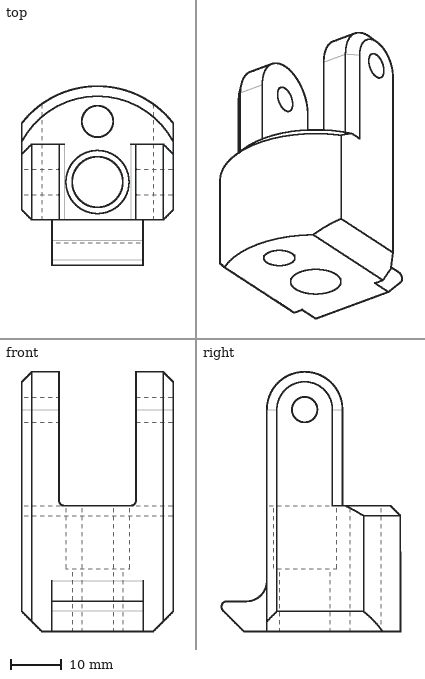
import cadquery as cq
import math

height = 51.5
width = 30.0
ear_radius = 7.5
edge_chamfer = 2.0
base_height = 25.0
back_radius = 19.0
foot_chamfer = 4.0

slot_width = 15.2
slot_fillet = 1.0
pin_hole_diameter = 5.0

bore_diameter = 10.0
counterbore_diameter = 12.5
counterbore_depth = base_height / 2
back_hole_diameter = 6.2
back_hole_y = 12.0

hook_width = 18.0
hook_height = 6.0
hook_foot_reach = 4.5
hook_root_fillet = 4.0
hook_tip_radius = 1.1

front_y = -ear_radius
pin_z = height - ear_radius
half_width = width / 2


def make_base():
    """Block with a rounded, chamfered back and chamfered front corners."""
    drum = cq.Workplane("XY").circle(back_radius).extrude(base_height)
    drum = drum.faces(">Z").chamfer(edge_chamfer)
    depth = back_radius - front_y
    block = (
        cq.Workplane("XY")
        .box(width, depth, base_height, centered=(True, False, False))
        .translate((0, front_y, 0))
        .edges("|Z and <Y")
        .chamfer(edge_chamfer)
    )
    return block.intersect(drum)


def make_ears():
    """Two round-topped ears, chamfered outside and filleted at the slot floor."""
    slab = (
        cq.Workplane("YZ")
        .moveTo(front_y, base_height)
        .lineTo(front_y, pin_z)
        .threePointArc((0, height), (ear_radius, pin_z))
        .lineTo(ear_radius, base_height)
        .close()
        .extrude(half_width, both=True)
    )
    slab = slab.faces("<X or >X").edges("not <Z").chamfer(edge_chamfer)
    slot = (
        cq.Workplane("XY", origin=(0, 0, base_height))
        .box(slot_width, 2 * ear_radius, height, centered=(True, True, False))
        .edges("|Y and <Z")
        .fillet(slot_fillet)
    )
    pin_hole = (
        cq.Workplane("YZ", origin=(0, 0, pin_z))
        .circle(pin_hole_diameter / 2)
        .extrude(half_width, both=True)
    )
    return slab.cut(slot).cut(pin_hole)


def make_hook():
    """Hook on the front with a concave root, 45 degree underside and rounded tip."""
    root_z = hook_height + hook_root_fillet
    root_y = front_y - hook_root_fillet
    diagonal = math.sqrt(0.5)
    root_mid = (root_y + hook_root_fillet * diagonal, root_z - hook_root_fillet * diagonal)

    tip_z = hook_height - hook_tip_radius
    tip_y = front_y - hook_foot_reach - tip_z + hook_tip_radius / diagonal
    tip_end = (tip_y - hook_tip_radius * diagonal, tip_z - hook_tip_radius * diagonal)
    return (
        cq.Workplane("YZ")
        .moveTo(0, 0)
        .lineTo(0, root_z)
        .lineTo(front_y, root_z)
        .threePointArc(root_mid, (root_y, hook_height))
        .lineTo(tip_y, hook_height)
        .threePointArc((tip_y - hook_tip_radius, tip_z), tip_end)
        .lineTo(front_y - hook_foot_reach, 0)
        .close()
        .extrude(hook_width / 2, both=True)
    )


def chamfer_feet(body):
    """Bevel the two lower side edges along the full depth."""
    for side in (-1, 1):
        wedge = (
            cq.Workplane("XZ")
            .polyline([
                (side * half_width, 0),
                (side * (half_width - foot_chamfer), 0),
                (side * half_width, foot_chamfer),
            ])
            .close()
            .extrude(height, both=True)
        )
        body = body.cut(wedge)
    return body


def drill_base(body):
    """Stepped bore between the ears and a plain hole behind it."""
    top = cq.Workplane("XY", origin=(0, 0, base_height))
    bore = top.circle(bore_diameter / 2).extrude(-base_height)
    counterbore = top.circle(counterbore_diameter / 2).extrude(-counterbore_depth)
    back_hole = top.center(0, back_hole_y).circle(back_hole_diameter / 2).extrude(-base_height)
    return body.cut(bore).cut(counterbore).cut(back_hole)


body = make_base().union(make_ears()).union(make_hook())
result = drill_base(chamfer_feet(body))